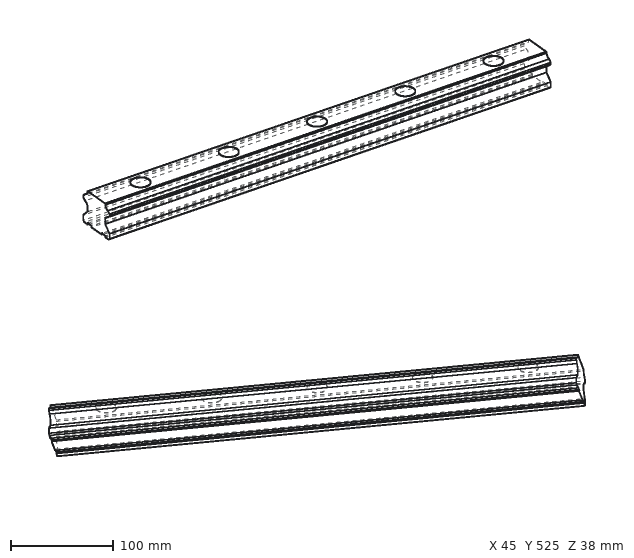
import cadquery as cq

length = 525.0
width = 45.0
height = 38.0

top_half_width = 16.0
top_chamfer = 1.0
nose_center_z = 28.5
nose_flat = 2.0
groove_outer_half = 20.0
groove_mid_half = 17.0
groove_mid_rise = 5.0
groove_inner_rise = 9.0

waist_half_width = 15.0
foot_side_top = 7.5
foot_chamfer = 1.5

relief_inner_half = 9.0
relief_outer_half = 15.0
relief_depth = 1.5

cap_count = 5
cap_pitch = 105.0
cap_diameter = 20.0
cap_recess = 0.5

half_width = width / 2
groove_outer_rise = nose_flat / 2 + half_width - groove_outer_half
flank_bottom_z = foot_side_top + half_width - waist_half_width


def half_profile():
    """Right half of the cross-section, from the bottom centre to the top centre."""
    return (
        cq.Workplane("XZ")
        .moveTo(0, 0)
        .lineTo(relief_inner_half, 0)
        .lineTo(relief_inner_half, relief_depth)
        .lineTo(relief_outer_half, relief_depth)
        .lineTo(relief_outer_half, 0)
        .lineTo(half_width - foot_chamfer, 0)
        .lineTo(half_width, foot_chamfer)
        .lineTo(half_width, foot_side_top)
        .lineTo(waist_half_width, flank_bottom_z)
        .lineTo(waist_half_width, nose_center_z - groove_inner_rise)
        .threePointArc(
            (groove_mid_half, nose_center_z - groove_mid_rise),
            (groove_outer_half, nose_center_z - groove_outer_rise),
        )
        .lineTo(half_width, nose_center_z - nose_flat / 2)
        .lineTo(half_width, nose_center_z + nose_flat / 2)
        .lineTo(groove_outer_half, nose_center_z + groove_outer_rise)
        .threePointArc(
            (groove_mid_half, nose_center_z + groove_mid_rise),
            (top_half_width, height - top_chamfer),
        )
        .lineTo(top_half_width - top_chamfer, height)
        .lineTo(0, height)
        .close()
    )


def rail_body():
    """Full-length rail, mirrored about the YZ plane."""
    half = half_profile().extrude(length / 2, both=True)
    return half.union(half.mirror("YZ")).clean()


def cap_seats():
    """Row of shallow round seats evenly spaced along the rail."""
    return (
        cq.Workplane("XY", origin=(0, 0, height - cap_recess))
        .rarray(5, cap_pitch, 1, cap_count)
        .circle(cap_diameter / 2)
        .extrude(cap_recess)
    )


result = rail_body().cut(cap_seats())